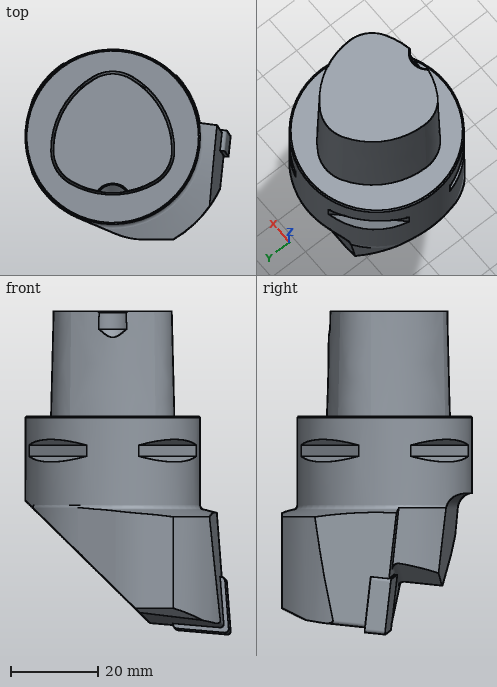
import cadquery as cq
import math


shank_length = 24.0
shank_base_radius = 14.1
shank_top_radius = 13.55
lobe_center_distance = 6.3
notch_diameter = 8.0
notch_center_y = -14.95
notch_depth = 4.1
notch_chamfer = 0.3
notch_cone_angle = 90

flange_diameter = 40.0
flange_radius = flange_diameter / 2
flange_thickness = 20.35
flange_chamfer = 0.4
groove_count = 4
groove_first_angle = 45
groove_depth = 2.3
groove_floor_width = 2.5
groove_side_angle = 30
groove_center_z = -7.9

neck_fillet = 1.0
shoulder_angle = 15
head_radius = 27.3
head_bottom_z = -55.5
core_radius = 20.2
arm_line_angle = 23.0
arm_corner_radius = 16.65
arm_front_y = -23.5
slant_start_z = -19.3
slant_angle = 44.5
heel_top_z = -43.95
heel_slope = 0.5
far = 88.8

insert_edge = 12.9
insert_angle = 80
insert_thickness = 4.7
insert_corner_radius = 0.8
tip = (27.1, 0.0, -50.1)
lead_angle = 5.0
rake_tilt_angle = 6.0
flank_clearance = 1.0
rake_drop = 0.6

back_offset = 9.55
back_top_z = -17.7
back_fillet = 4.0
pocket_wall_points = [(-22.2, -22.3), (3.7, -38.0), (23.7, -32.55)]
pocket_corner_radius = 2.6
pocket_fillet = 1.5

lead = math.radians(lead_angle)
rake_tilt_x = math.tan(math.radians(rake_tilt_angle))
rake_tilt_z = -rake_tilt_x
rake_normal = cq.Vector(rake_tilt_x, 1, rake_tilt_z).normalized()
edge_y = rake_tilt_x * math.cos(lead) - rake_tilt_z * math.sin(lead)
edge_direction = cq.Vector(-math.cos(lead), edge_y, math.sin(lead)).normalized()
rake_plane = cq.Plane(origin=tip, xDir=edge_direction, normal=rake_normal)


def polar(radius, degrees):
    """Point in the XY plane at a radius and an angle from +X."""
    angle = math.radians(degrees)
    return cq.Vector(radius * math.cos(angle), radius * math.sin(angle), 0)


def shank_outline(radius, height):
    """Constant-width outline with its three lobes at 90, 210 and 330 degrees."""
    spacing = math.sqrt(3) * lobe_center_distance
    lobe_radius = radius - spacing / 2
    flank_middle = radius + spacing / 2 - lobe_center_distance
    lobe_middle = lobe_center_distance + lobe_radius
    outline = cq.Workplane("XY", origin=(0, 0, height))
    start = polar(lobe_center_distance, 90) + polar(lobe_radius, 60)
    outline = outline.moveTo(start.x, start.y)
    for lobe in (90, 210, 330):
        lobe_end = polar(lobe_center_distance, lobe) + polar(lobe_radius, lobe + 30)
        flank_end = polar(lobe_center_distance, lobe + 120) + polar(lobe_radius, lobe + 90)
        lobe_top = polar(lobe_middle, lobe)
        flank_top = polar(flank_middle, lobe + 60)
        outline = outline.threePointArc((lobe_top.x, lobe_top.y), (lobe_end.x, lobe_end.y))
        outline = outline.threePointArc((flank_top.x, flank_top.y), (flank_end.x, flank_end.y))
    return outline.close().wire().val()


def make_shank():
    """Tapered shank with a cone-bottomed notch in its front flank."""
    wires = [shank_outline(shank_base_radius, 0), shank_outline(shank_top_radius, shank_length)]
    shank = cq.Workplane(cq.Solid.makeLoft(wires, True))
    notch_radius = notch_diameter / 2
    cone_height = notch_radius / math.tan(math.radians(notch_cone_angle / 2))
    notch_floor_z = shank_length - notch_depth
    notch = (
        cq.Workplane("XZ", origin=(0, notch_center_y, 0))
        .moveTo(0, notch_floor_z - cone_height)
        .lineTo(notch_radius, notch_floor_z)
        .lineTo(notch_radius, shank_length - notch_chamfer)
        .lineTo(notch_radius + notch_chamfer, shank_length)
        .lineTo(0, shank_length)
        .close()
        .revolve(360, (0, 0, 0), (0, 1, 0))
    )
    return shank.cut(notch)


def make_turned_blank():
    """Flange, neck fillet and conical shoulder turned about the spindle axis."""
    slope = math.radians(shoulder_angle)
    fillet_center_r = flange_radius + neck_fillet
    fillet_end_z = -flange_thickness - neck_fillet
    diagonal = neck_fillet * math.sqrt(0.5)
    fillet_middle = (fillet_center_r - diagonal, -flange_thickness - diagonal)
    rim_z = fillet_end_z - (head_radius - fillet_center_r) * math.tan(slope)
    return (
        cq.Workplane("XZ")
        .lineTo(flange_radius - flange_chamfer, 0)
        .lineTo(flange_radius, -flange_chamfer)
        .lineTo(flange_radius, -flange_thickness)
        .threePointArc(fillet_middle, (fillet_center_r, fillet_end_z))
        .lineTo(head_radius, rim_z)
        .lineTo(head_radius, head_bottom_z)
        .lineTo(0, head_bottom_z)
        .close()
        .revolve(360, (0, 0, 0), (0, 1, 0))
    )


def drive_grooves():
    """Straight V grooves with flat floors, evenly spaced around the flange."""
    floor_distance = flange_radius - groove_depth
    outer = 2 * groove_depth
    half_floor = groove_floor_width / 2
    half_mouth = half_floor + outer * math.tan(math.radians(groove_side_angle))
    groove = (
        cq.Workplane("XZ", origin=(floor_distance, 0, groove_center_z))
        .polyline([(0, -half_floor), (outer, -half_mouth), (outer, half_mouth), (0, half_floor)])
        .close()
        .extrude(flange_radius, both=True)
    )
    grooves = cq.Workplane()
    for index in range(groove_count):
        angle = groove_first_angle + index * 360 / groove_count
        grooves = grooves.add(groove.rotate((0, 0, 0), (0, 0, 1), angle))
    return grooves.combine()


def rake_block(plane_offset):
    """Block that fills all space behind a plane parallel to the rake face."""
    return cq.Workplane(rake_plane).workplane(offset=plane_offset).rect(2 * far, 2 * far).extrude(far)


def make_arm():
    """Prism of the arm that carries the insert, tangent to the core."""
    tangent = polar(core_radius, 270 - arm_line_angle)
    turn = math.radians(arm_line_angle)
    corner_top_y = arm_front_y + arm_corner_radius * (1 - math.cos(turn))
    run = (tangent.y - corner_top_y) / math.tan(turn)
    corner_start_x = tangent.x + run
    corner_end_x = corner_start_x + arm_corner_radius * math.sin(turn)
    corner_middle = (
        corner_end_x - arm_corner_radius * math.sin(turn / 2),
        arm_front_y + arm_corner_radius * (1 - math.cos(turn / 2)),
    )
    arm = (
        cq.Workplane("XY", origin=(0, 0, head_bottom_z))
        .lineTo(tangent.x, tangent.y)
        .lineTo(corner_start_x, corner_top_y)
        .threePointArc(corner_middle, (corner_end_x, arm_front_y))
        .lineTo(far, arm_front_y)
        .lineTo(far, far)
        .lineTo(0, far)
        .close()
        .extrude(-head_bottom_z)
    )
    return arm.cut(rake_block(-rake_drop))


def slant_block():
    """Block below the slanted underside."""
    rise = far * math.tan(math.radians(slant_angle))
    return (
        cq.Workplane("XZ")
        .moveTo(-flange_radius - far, slant_start_z + rise)
        .lineTo(-flange_radius + far, slant_start_z - rise)
        .lineTo(-flange_radius - far, slant_start_z - rise)
        .close()
        .extrude(far, both=True)
    )


def heel_block():
    """Block below the bevel at the front of the arm."""
    drop = heel_slope * far
    return (
        cq.Workplane("YZ")
        .moveTo(arm_front_y - far, heel_top_z + drop)
        .lineTo(arm_front_y + far, heel_top_z - drop)
        .lineTo(arm_front_y - far, heel_top_z - far)
        .close()
        .extrude(far, both=True)
    )


def flank_space():
    """Prism square to the rake face that lies inside both holder flanks."""
    side = math.radians(insert_angle)
    corner_u = flank_clearance / math.tan(side / 2)
    nose = rake_plane.toWorldCoords((corner_u, flank_clearance, 0))
    return (
        cq.Workplane(rake_plane)
        .moveTo(corner_u, flank_clearance)
        .lineTo(corner_u + far, flank_clearance)
        .lineTo(corner_u + far, far)
        .lineTo(corner_u + (far - flank_clearance) / math.tan(side), far)
        .close()
        .extrude(far, both=True)
        .edges(cq.selectors.ParallelDirSelector(rake_normal))
        .edges(cq.selectors.NearestToPointSelector(nose))
        .fillet(insert_corner_radius)
    )


def back_cut():
    """Recess behind the back face, rounded into the flange."""
    level_direction = cq.Vector(-1, rake_tilt_x, 0)
    back_plane = cq.Plane(origin=tip, xDir=level_direction, normal=rake_normal)
    top = back_plane.toLocalCoords(cq.Vector(0, flange_radius, back_top_z)).y
    block = (
        cq.Workplane(back_plane)
        .workplane(offset=back_offset)
        .center(0, top - far / 2)
        .rect(2 * far, far)
        .extrude(far)
    )
    edge_point = back_plane.toWorldCoords((0, top, back_offset))
    return block.edges(cq.selectors.NearestToPointSelector(edge_point)).fillet(back_fillet)


def chip_pocket():
    """Recess over the holder rake face that gives chips room above the insert."""
    rake_points = []
    for x, z in pocket_wall_points:
        y = -(rake_tilt_x * (x - tip[0]) + rake_tilt_z * (z - tip[2]))
        local = rake_plane.toLocalCoords(cq.Vector(x, y, z))
        rake_points.append((local.x, local.y))
    first = rake_points[0]
    last = rake_points[-1]
    outline = rake_points + [(last[0] - far, last[1]), (last[0] - far, -far), (first[0], -far)]
    floor = cq.Workplane(rake_plane).workplane(offset=-rake_drop)
    pocket = floor.polyline(outline).close().extrude(far)
    corner_point = floor.plane.toWorldCoords((*rake_points[1], far / 2))
    pocket = pocket.edges(cq.selectors.NearestToPointSelector(corner_point)).fillet(pocket_corner_radius)
    floor_face = cq.selectors.DirectionMinMaxSelector(rake_normal, directionMax=False)
    return pocket.faces(floor_face).edges().fillet(pocket_fillet)


def make_insert():
    """Rhombic insert with rounded corners; its upper face is the rake face."""
    side = math.radians(insert_angle)
    across = insert_edge * math.cos(side)
    height = insert_edge * math.sin(side)
    return (
        cq.Workplane(rake_plane)
        .polyline([(0, 0), (insert_edge, 0), (insert_edge + across, height), (across, height)])
        .close()
        .extrude(-insert_thickness)
        .edges(cq.selectors.ParallelDirSelector(rake_normal))
        .fillet(insert_corner_radius)
        .solids()
    )


def make_holder(insert):
    """Shank, flange and head in one piece, with a seat that fits the insert."""
    core = cq.Workplane("XY", origin=(0, 0, head_bottom_z)).circle(core_radius).extrude(-head_bottom_z)
    holder = make_turned_blank().intersect(core.union(make_arm()))
    above_flanks = cq.Workplane("XY").box(2 * far, 2 * far, far, centered=(True, True, False))
    above_flanks = above_flanks.translate((0, 0, -flange_thickness))
    holder = holder.intersect(flank_space().union(above_flanks))
    holder = holder.cut(slant_block()).cut(heel_block()).cut(back_cut()).cut(chip_pocket())
    holder = holder.cut(drive_grooves()).union(make_shank())
    return holder.cut(insert).solids()


insert = make_insert()
holder = make_holder(insert)
result = cq.Compound.makeCompound([holder.val(), insert.val()])